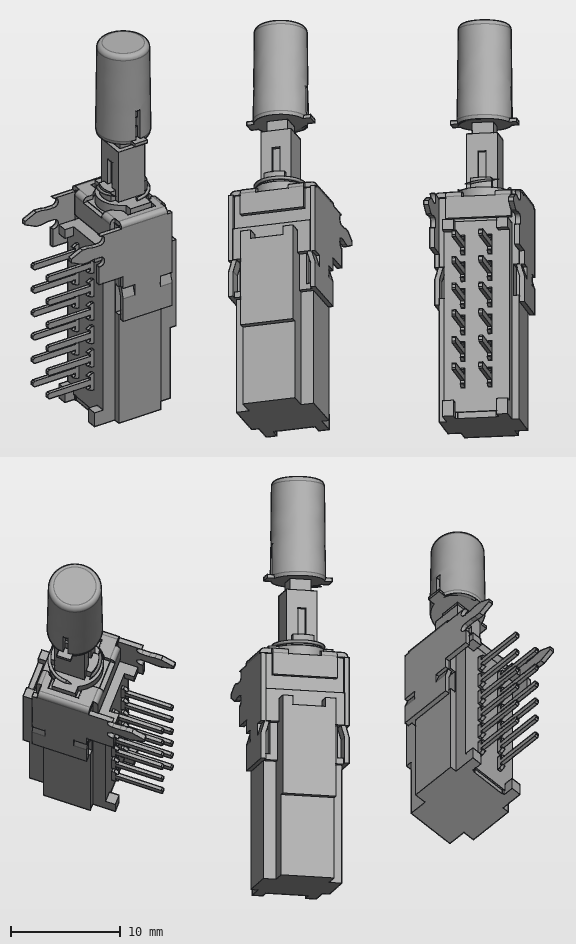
import cadquery as cq


def box(x_range, y_range, z_range):
    """Block given by its (low, high) limits along each axis."""
    (x0, x1), (y0, y1), (z0, z1) = x_range, y_range, z_range
    return cq.Workplane("XY").box(x1 - x0, y1 - y0, z1 - z0, centered=False).translate((x0, y0, z0))


def centered_box(half_x, y_range, z_range):
    """Block symmetric about the YZ plane."""
    return box((-half_x, half_x), y_range, z_range)


def both_sides(solid):
    """A solid together with its mirror image across the YZ plane."""
    return solid.union(solid.mirror("YZ"))


total_height = 37.75
sheet = 0.45

body_half_x = 3.7
body_front = -2.85
body_back = 1.7
body_top = 20.95
rear_half_x = 2.5
rear_back = 3.5
rear_top = 16.7
rear_step_z = 7.5
rear_block_back = 4.1
rear_slot_half_x = 1.55
rear_slot_step_y = 3.6
rear_slot_floor_z = 15.85
rear_slot_deep_z = 15.1

block_half_x = 3.02
block_front = -4.08
block_top = 18.42
foot_front = -5.02
foot_inner_x = 2.0
lower_foot_height = 1.47
upper_foot_height = 0.95
recess_height = 0.55
recess_depth = 0.08
recess_middle_half_x = 1.77
recess_middle_depth = 0.15

pin_columns = (-1.25, 1.25)
pin_rows = 6
pin_pitch = 2.5
lowest_pin_z = 3.7
pin_thickness = 0.35
pin_half_width = 0.3
pin_tip_y = -9.02
pin_tip_chamfer = 0.15
barb_half_height = 0.9
barb_shoulder_y = -4.3
barb_tip_y = -4.7
barb_tip_z = 0.68
barb_root_y = -4.45
barb_root_z = 0.53

bracket_half_x = body_half_x + sheet
bracket_top = 21.48
bend_radius = 0.5
side_front = body_front
side_back = 2.15
flap_half_x = 3.02
flap_front = -3.32
flap_back = 2.65
flap_bottom = 18.95
leg_depth = 5.3
leg_front = flap_back - leg_depth
leg_bottom = 11.02
leg_top = 20.9
wing_front = -5.25
wing_bottom = 15.78
prong_z = 19.3
prong_half_neck = 0.65
prong_half_belly = 0.75
prong_neck_y = -5.85
prong_belly_y = (-6.4, -7.02)
prong_tip_y = -8.23
prong_half_tip = 0.2
relief_radius = 0.5
relief_y = -5.15
top_notch_half_x = 1.55
top_opening_radius = 2.65
top_opening_half = (3.15, 1.47)

tab_z = (13.45, 14.55)
tab_width = 1.25
tab_lean = 0.35
pocket_bottom_z = 11.6
pocket_depth = 0.53
rear_shoulder_y = 2.75
rear_shoulder_z = (14.55, 17.55)

collar_radius = 2.45
collar_y = -0.15
collar_top = 21.95
collar_ear_half = (3.02, 1.15)
guide_radius = 2.2
guide_half_x = 1.0
guide_top = 22.95

stem_half = 1.45
stem_top = 27.25
neck_half = 1.0
stem_groove_half_x = 0.38
stem_groove_depth = 0.38
stem_groove_top = 25.6
knob_bottom = 28.4
knob_bottom_radius = 2.53
knob_top_radius = 2.4
knob_edge_radius = 0.5
rim_height = 0.35
rim_bottom_radius = 2.45
latch_half = (3.05, 0.68)
slot_half_y = 0.23
slot_top = 31.75
slot_depth = 0.45
slot_window_z = (29.82, 30.8)
slot_window_depth = 0.68

wire_radius = 0.15
coil_radius = 2.3
coil_start_z = 22.25
coil_pitch = 1.47
coil_turns = 4.25
closed_turn_angle = 180


def make_housing():
    housing = centered_box(body_half_x, (body_front, body_back), (0, body_top))
    housing = housing.union(centered_box(rear_half_x, (body_back, rear_back), (0, rear_top)))
    housing = housing.union(
        centered_box(rear_half_x, (rear_back, rear_block_back), (rear_step_z, rear_top))
    )
    upper_back = flap_back - sheet
    housing = housing.union(
        centered_box(body_half_x, (body_back, upper_back), (leg_bottom, body_top))
    )
    housing = housing.union(centered_box(body_half_x, (upper_back, rear_shoulder_y), rear_shoulder_z))

    slot_front = rear_shoulder_y
    housing = housing.cut(
        centered_box(rear_slot_half_x, (slot_front, rear_block_back), (rear_slot_floor_z, rear_top))
    )
    housing = housing.cut(
        centered_box(rear_slot_half_x, (slot_front, rear_slot_step_y), (rear_slot_deep_z, rear_top))
    )

    pocket_x = (body_half_x - pocket_depth, body_half_x)
    pocket_z = (pocket_bottom_z, tab_z[1])
    front_pocket = box(pocket_x, (body_front, leg_front + tab_width), pocket_z)
    back_pocket = box(pocket_x, (flap_back - tab_width, rear_shoulder_y), pocket_z)
    return housing.cut(both_sides(front_pocket.union(back_pocket)))


def make_terminal_block():
    block = centered_box(block_half_x, (block_front, body_front), (0, block_top))
    foot_x = (foot_inner_x, block_half_x)
    foot_y = (foot_front, block_front)
    feet = box(foot_x, foot_y, (0, lower_foot_height))
    feet = feet.union(box(foot_x, foot_y, (block_top - upper_foot_height, block_top)))
    recess_z = (0, recess_height)
    recess = centered_box(foot_inner_x, (block_front, block_front + recess_depth), recess_z)
    recess = recess.union(
        centered_box(recess_middle_half_x, (block_front, block_front + recess_middle_depth), recess_z)
    )
    return block.cut(recess).union(both_sides(feet))


def make_pin(x, z):
    """Flat pin with two barbs at its root, cut from sheet lying in a YZ plane."""
    upper_half = [
        (block_front, barb_half_height),
        (barb_shoulder_y, barb_half_height),
        (barb_tip_y, barb_tip_z),
        (barb_root_y, barb_root_z),
        (barb_root_y, pin_half_width),
        (pin_tip_y + pin_tip_chamfer, pin_half_width),
        (pin_tip_y, pin_half_width - pin_tip_chamfer),
    ]
    lower_half = [(y, -height) for y, height in reversed(upper_half)]
    root = [(body_front, -barb_half_height), (body_front, barb_half_height)]
    profile = cq.Workplane("YZ").polyline(upper_half + lower_half + root).close()
    return profile.extrude(pin_thickness / 2, both=True).translate((x, 0, z))


def make_leg():
    """Bracket leg on the +X side with its prong and lanced tabs."""
    leg_x = (body_half_x, bracket_half_x)
    leg = box(leg_x, (leg_front, flap_back), (leg_bottom, leg_top))
    leg = leg.union(box(leg_x, (wing_front, leg_front), (wing_bottom, leg_top)))

    relief_offset = prong_half_neck + relief_radius
    for direction in (-1, 1):
        z = prong_z + direction * relief_offset
        relief = (
            cq.Workplane("YZ", origin=(body_half_x, 0, 0))
            .center(relief_y, z)
            .circle(relief_radius)
            .extrude(sheet)
        )
        leg = leg.cut(relief)
        leg = leg.cut(box(leg_x, (wing_front, relief_y), (z - relief_radius, z + relief_radius)))

    upper_edge = [
        (relief_y, prong_half_neck),
        (prong_neck_y, prong_half_neck),
        (prong_belly_y[0], prong_half_belly),
        (prong_belly_y[1], prong_half_belly),
        (prong_tip_y, prong_half_tip),
    ]
    lower_edge = [(y, -height) for y, height in reversed(upper_edge)]
    prong = (
        cq.Workplane("YZ", origin=(body_half_x, 0, prong_z))
        .polyline(upper_edge + lower_edge)
        .close()
        .extrude(sheet)
    )
    leg = leg.union(prong)

    tab_low, tab_high = tab_z
    tab_outline = [
        (body_half_x, tab_low),
        (bracket_half_x, tab_low),
        (bracket_half_x - tab_lean, tab_high),
        (body_half_x - tab_lean, tab_high),
    ]
    for tab_front in (leg_front, flap_back - tab_width):
        tab_back = tab_front + tab_width
        leg = leg.cut(box(leg_x, (tab_front, tab_back), tab_z))
        tab = (
            cq.Workplane("XZ", origin=(0, tab_back, 0))
            .polyline(tab_outline)
            .close()
            .extrude(tab_width)
        )
        leg = leg.union(tab)
    return leg


def make_bracket():
    plate_bottom = bracket_top - sheet
    sides = centered_box(bracket_half_x, (side_front, side_back), (wing_bottom, bracket_top))
    sides = sides.edges("|Y and >Z").fillet(bend_radius)
    sides = sides.cut(centered_box(body_half_x, (side_front, side_back), (wing_bottom, plate_bottom)))
    flaps = centered_box(flap_half_x, (flap_front, flap_back), (flap_bottom, bracket_top))
    flaps = flaps.edges("|X and >Z").fillet(bend_radius)
    flaps = flaps.cut(
        centered_box(flap_half_x, (flap_front + sheet, flap_back - sheet), (flap_bottom, plate_bottom))
    )
    bracket = sides.union(flaps)

    opening_x, opening_y = top_opening_half
    opening_z = (body_top, bracket_top)
    opening = (
        cq.Workplane("XY", origin=(0, collar_y, body_top))
        .circle(top_opening_radius)
        .extrude(bracket_top - body_top)
    )
    opening = opening.union(centered_box(opening_x, (-opening_y, opening_y), opening_z))
    opening = opening.union(centered_box(top_notch_half_x, (flap_front, flap_back), opening_z))
    return bracket.cut(opening).union(both_sides(make_leg()))


def make_guide():
    ear_x, ear_y = collar_ear_half
    collar = (
        cq.Workplane("XY", origin=(0, collar_y, body_top))
        .circle(collar_radius)
        .extrude(collar_top - body_top)
    )
    collar = collar.union(centered_box(ear_x, (-ear_y, ear_y), (body_top, collar_top)))
    guide = (
        cq.Workplane("XY", origin=(0, 0, collar_top))
        .circle(guide_radius)
        .extrude(guide_top - collar_top)
        .intersect(
            centered_box(guide_half_x, (-guide_radius, guide_radius), (collar_top, guide_top))
        )
    )
    return collar.union(guide)


def make_plunger():
    stem = centered_box(stem_half, (-stem_half, stem_half), (body_top, stem_top))
    groove_floor = stem_half - stem_groove_depth
    groove = centered_box(
        stem_groove_half_x, (-stem_half, -groove_floor), (guide_top, stem_groove_top)
    )
    stem = stem.cut(groove).cut(groove.mirror("XZ"))
    neck = centered_box(neck_half, (-neck_half, neck_half), (stem_top, knob_bottom))

    rim_top = knob_bottom + rim_height
    knob = (
        cq.Workplane("XZ")
        .moveTo(0, knob_bottom)
        .lineTo(rim_bottom_radius, knob_bottom)
        .lineTo(knob_bottom_radius, rim_top)
        .lineTo(knob_top_radius, total_height)
        .lineTo(0, total_height)
        .close()
        .revolve(360, (0, 0, 0), (0, 1, 0))
        .faces(">Z")
        .edges()
        .fillet(knob_edge_radius)
    )
    slot_y = (-slot_half_y, slot_half_y)
    slot_x = (knob_bottom_radius - slot_depth, knob_bottom_radius)
    window_x = (knob_bottom_radius - slot_window_depth, knob_bottom_radius)
    slot = box(slot_x, slot_y, (rim_top, slot_top)).union(box(window_x, slot_y, slot_window_z))
    latch_x, latch_y = latch_half
    latch = centered_box(latch_x, (-latch_y, latch_y), (knob_bottom, rim_top))
    return stem.union(neck).union(knob.cut(both_sides(slot))).union(latch)


def make_spring():
    """Right-hand coil starting at -X, with a closed half turn at its foot."""
    helix = cq.Wire.makeHelix(coil_pitch, coil_pitch * coil_turns, coil_radius)
    coil = (
        cq.Workplane("XZ", origin=(coil_radius, 0, 0))
        .circle(wire_radius)
        .sweep(cq.Workplane(obj=helix), isFrenet=True)
        .rotate((0, 0, 0), (0, 0, 1), 180)
    )
    closed_turn = (
        cq.Workplane("XZ")
        .center(coil_radius, 0)
        .circle(wire_radius)
        .revolve(closed_turn_angle, (-coil_radius, 0, 0), (-coil_radius, 1, 0))
    )
    return coil.union(closed_turn).translate((0, 0, coil_start_z))


pins = cq.Workplane("XY")
for pin_x in pin_columns:
    for row in range(pin_rows):
        pins.add(make_pin(pin_x, lowest_pin_z + row * pin_pitch))

base = make_housing().union(make_terminal_block()).union(make_bracket())
base = base.union(cq.Workplane(obj=cq.Compound.makeCompound(pins.vals())))
actuator = make_plunger().union(make_spring()).union(make_guide())
result = cq.Workplane(obj=base.union(actuator).solids().val())